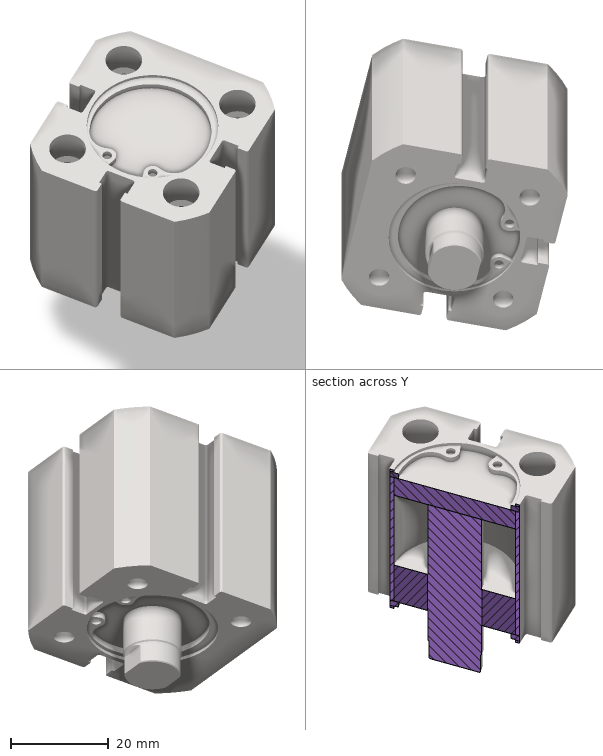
import cadquery as cq
import math


width = 41.0
height = 38.0
corner_radius = 25.5
bore_radius = 13.5
half_width = width / 2

hole_pitch = 26.0
hole_diameter = 4.2
counterbore_diameter = 7.5
counterbore_depth = 7.0

slot_mouth = 5.3
slot_width = 6.5
slot_depth = 6.0
slot_lip = 2.4
slot_round = 0.5
slot_floor = half_width - slot_depth
slot_angles = (-90, 0, 180)

ring_inset = 0.7
ring_thickness = 1.3
ring_outer_radius = 14.4
ring_inner_radius = 12.5
ring_inner_offset = -0.93
ear_x = 5.2
ear_y = -10.44
ear_radius = 1.85
ear_hole_diameter = 2.0
ear_blend_radius = 4.2

cover_inset = ring_inset + ring_thickness
head_cover_thickness = 5.0
rod_cover_thickness = 10.0

rod_radius = 6.0
rod_projection = 11.0
shoulder_length = 6.0
tip_radius = 5.75
tip_chamfer = 0.2
flat_distance = 5.0
rod_top = height - cover_inset - head_cover_thickness


def cylinder(radius, bottom, top):
    return cq.Workplane("XY").workplane(offset=bottom).circle(radius).extrude(top - bottom)


def make_slot(angle):
    """Undercut slot opening through the side that faces the given angle."""
    lip_x = half_width - slot_lip
    undercut = (
        cq.Workplane("XY")
        .box(lip_x - slot_floor, slot_width, height, centered=(False, True, False))
        .edges("|Z and <X")
        .fillet(slot_round)
        .translate((slot_floor, 0, 0))
    )
    half_mouth = slot_mouth / 2
    mouth = (
        cq.Workplane("XY")
        .moveTo(lip_x, -half_mouth)
        .lineTo(half_width - slot_round, -half_mouth)
        .radiusArc((half_width, -half_mouth - slot_round), slot_round)
        .lineTo(half_width, half_mouth + slot_round)
        .radiusArc((half_width - slot_round, half_mouth), slot_round)
        .lineTo(lip_x, half_mouth)
        .close()
        .extrude(height)
    )
    return undercut.union(mouth).rotate((0, 0, 0), (0, 0, 1), angle)


def make_ring(bottom):
    """Snap ring with two eyed ears and a gap that faces -Y."""
    ear_distance = math.hypot(ear_x, ear_y)
    ear_angle = math.atan2(ear_y, ear_x)

    end_angle = ear_angle - math.asin(ear_radius / ear_distance)
    end_start = math.sqrt(ear_distance**2 - ear_radius**2)
    end_inner = (end_start * math.cos(end_angle), end_start * math.sin(end_angle))
    end_outer = (ring_outer_radius * math.cos(end_angle), ring_outer_radius * math.sin(end_angle))

    to_ear = ear_radius + ear_blend_radius
    to_inner = ring_inner_radius - ear_blend_radius
    ear_rise = ear_y - ring_inner_offset
    span = math.hypot(ear_x, ear_rise)
    opening = math.acos((span**2 + to_inner**2 - to_ear**2) / (2 * span * to_inner))
    blend_angle = math.atan2(ear_rise, ear_x) + opening
    blend_x = to_inner * math.cos(blend_angle)
    blend_y = ring_inner_offset + to_inner * math.sin(blend_angle)

    ear_share = ear_radius / to_ear
    ear_tangent = (ear_x + ear_share * (blend_x - ear_x), ear_y + ear_share * (blend_y - ear_y))
    inner_tangent = (
        ring_inner_radius * math.cos(blend_angle),
        ring_inner_offset + ring_inner_radius * math.sin(blend_angle),
    )

    def mirrored(point):
        return (-point[0], point[1])

    return (
        cq.Workplane("XY")
        .workplane(offset=bottom)
        .moveTo(*end_outer)
        .threePointArc((0, ring_outer_radius), mirrored(end_outer))
        .lineTo(*mirrored(end_inner))
        .radiusArc(mirrored(ear_tangent), -ear_radius)
        .radiusArc(mirrored(inner_tangent), ear_blend_radius)
        .threePointArc((0, ring_inner_offset + ring_inner_radius), inner_tangent)
        .radiusArc(ear_tangent, ear_blend_radius)
        .radiusArc(end_inner, -ear_radius)
        .close()
        .pushPoints([(-ear_x, ear_y), (ear_x, ear_y)])
        .circle(ear_hole_diameter / 2)
        .extrude(ring_thickness)
    )


def make_ring_seat(ring):
    """Recess for a ring: its outline with the eyes filled in."""
    outline = ring.faces("<Z").val().outerWire()
    return cq.Workplane(cq.Solid.extrudeLinear(outline, [], cq.Vector(0, 0, ring_thickness)))


def make_housing(rings):
    body = cq.Workplane("XY").rect(width, width).extrude(height)
    body = body.intersect(cylinder(corner_radius, 0, height))
    body = body.cut(cylinder(bore_radius, 0, height))
    body = (
        body.faces(">Z")
        .workplane(origin=(0, 0, height))
        .rect(hole_pitch, hole_pitch, forConstruction=True)
        .vertices()
        .cboreHole(hole_diameter, counterbore_diameter, counterbore_depth)
    )
    for angle in slot_angles:
        body = body.cut(make_slot(angle))
    for ring in rings:
        body = body.cut(make_ring_seat(ring))
    return body


def make_head_cover():
    top = height - cover_inset
    return cylinder(bore_radius, top - head_cover_thickness, top)


def make_rod_cover():
    top = cover_inset + rod_cover_thickness
    return cylinder(bore_radius, cover_inset, top).cut(cylinder(rod_radius, cover_inset, top))


def make_rod():
    """Stepped rod whose tip has two wrench flats, each with a 45 degree run-out."""
    neck = rod_radius - tip_radius
    profile = [
        (0, -rod_projection),
        (tip_radius - tip_chamfer, -rod_projection),
        (tip_radius, tip_chamfer - rod_projection),
        (tip_radius, -shoulder_length - neck),
        (rod_radius, -shoulder_length),
        (rod_radius, rod_top),
        (0, rod_top),
    ]
    rod = cq.Workplane("XZ").polyline(profile).close().revolve(360, (0, 0, 0), (0, 1, 0))

    run_out = rod_radius - flat_distance
    flat = (
        cq.Workplane("YZ")
        .moveTo(flat_distance, -rod_projection)
        .lineTo(flat_distance, -shoulder_length - run_out)
        .lineTo(rod_radius, -shoulder_length)
        .lineTo(rod_radius, -rod_projection)
        .close()
        .extrude(rod_radius, both=True)
    )
    return rod.cut(flat).cut(flat.mirror("XZ"))


ring_bottoms = (ring_inset, height - ring_inset - ring_thickness)
snap_rings = [make_ring(bottom) for bottom in ring_bottoms]
housing = make_housing(snap_rings)
head_cover = make_head_cover()
rod_cover = make_rod_cover()
rod = make_rod()

result = cq.Compound.makeCompound([
    housing.val(),
    head_cover.val(),
    rod_cover.val(),
    rod.val(),
    *[ring.val() for ring in snap_rings],
])